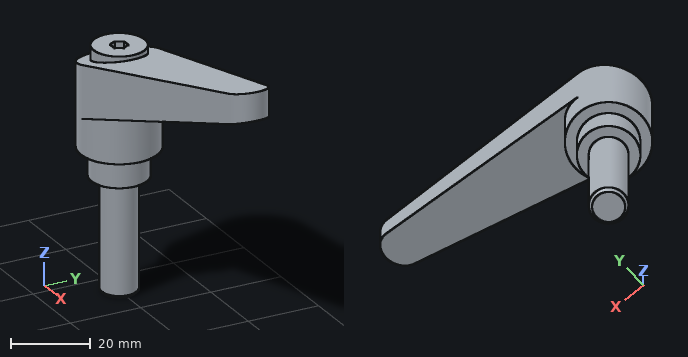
import cadquery as cq
import math

total_length = 85.0
total_height = 84.7

stud_diameter = 10.0
stud_length = 32.0
stud_chamfer = 0.85
collar_diameter = 16.0
collar_height = 8.0
hub_diameter = 22.0
head_diameter = 14.5
head_top = 68.0

socket_across_flats = 4.0
socket_depth = 4.0
socket_tip_angle = 120.0

tip_radius = 5.5
tip_thickness = 8.0
top_slope = math.radians(15)
underside_slope = math.radians(19.9)

hub_radius = hub_diameter / 2
hub_bottom = stud_length + collar_height
tip_end = total_length - hub_radius
tip_center = tip_end - tip_radius
flank_sine = (hub_radius - tip_radius) / tip_center
flank_cosine = math.sqrt(1 - flank_sine**2)
arm_start = hub_radius * flank_sine


def top_height(x):
    """Height of the sloping upper face."""
    return total_height - (tip_end - x) * math.tan(top_slope)


def underside_height(x):
    """Height of the sloping arm underside."""
    return total_height - tip_thickness - (tip_end - x) * math.tan(underside_slope)


def cylinder(diameter, bottom, top):
    return cq.Workplane("XY").workplane(offset=bottom).circle(diameter / 2).extrude(top - bottom)


def make_arm():
    """Tapered plan outline with a round tip, cut to the sloping side profile."""
    tip_tangent_x = tip_center + tip_radius * flank_sine
    hub_tangent_y = hub_radius * flank_cosine
    tip_tangent_y = tip_radius * flank_cosine
    plan = (
        cq.Workplane("XY")
        .moveTo(arm_start, -hub_tangent_y)
        .lineTo(tip_tangent_x, -tip_tangent_y)
        .threePointArc((tip_end, 0), (tip_tangent_x, tip_tangent_y))
        .lineTo(arm_start, hub_tangent_y)
        .close()
        .extrude(total_height)
    )
    profile = (
        cq.Workplane("XZ")
        .polyline([
            (arm_start, underside_height(arm_start)),
            (tip_end, underside_height(tip_end)),
            (tip_end, top_height(tip_end)),
            (arm_start, top_height(arm_start)),
        ])
        .close()
        .extrude(hub_diameter, both=True)
    )
    return plan.intersect(profile)


def make_hub():
    """Cylinder whose top continues the slope of the arm."""
    profile = (
        cq.Workplane("XZ")
        .polyline([
            (-hub_radius, hub_bottom),
            (hub_radius, hub_bottom),
            (hub_radius, top_height(hub_radius)),
            (-hub_radius, top_height(-hub_radius)),
        ])
        .close()
        .extrude(hub_diameter, both=True)
    )
    return cylinder(hub_diameter, hub_bottom, total_height).intersect(profile)


def make_socket():
    """Hexagonal recess whose floor is a cone reaching out to the hexagon corners."""
    corner_radius = socket_across_flats / math.sqrt(3)
    point_depth = corner_radius / math.tan(math.radians(socket_tip_angle / 2))
    straight_bottom = head_top - socket_depth
    point_bottom = straight_bottom - point_depth
    hexagon = (
        cq.Workplane("XY")
        .workplane(offset=point_bottom)
        .polygon(6, 2 * corner_radius)
        .extrude(head_top - point_bottom)
    )
    drilled_shape = (
        cq.Workplane("XZ")
        .moveTo(0, point_bottom)
        .lineTo(corner_radius, straight_bottom)
        .lineTo(corner_radius, head_top)
        .lineTo(0, head_top)
        .close()
        .revolve(360, (0, 0, 0), (0, 1, 0))
    )
    return hexagon.intersect(drilled_shape)


stud = cylinder(stud_diameter, 0, stud_length).faces("<Z").chamfer(stud_chamfer)
collar = cylinder(collar_diameter, stud_length, hub_bottom)
head = cylinder(head_diameter, hub_bottom, head_top)

result = make_hub().union(make_arm()).union(collar).union(stud).union(head).cut(make_socket())